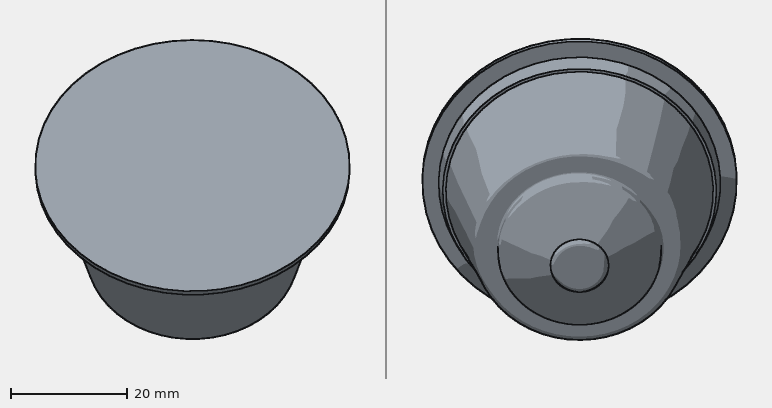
import cadquery as cq

height = 34.0

rim_radius = 27.0
collar_top_radius = 24.2
collar_bottom_radius = 23.5
body_top_radius = 22.95
body_bottom_radius = 18.05
neck_radius = 28.0 / 2
tip_radius = 10.0 / 2

rim_depth = 1.0
flange_depth = 1.5
collar_depth = 4.6
body_depth = 26.05
neck_depth = 28.1
cone_depth = 33.0

body_fillet = 1.1
neck_root_fillet = 0.5
neck_fillet = 0.75
tip_fillet = 0.95

match_tolerance = 0.005

body_bottom_z = height - body_depth
neck_bottom_z = height - neck_depth


def revolved_capsule():
    """Revolve the half profile, listed from the top centre down the outside."""
    profile = [
        (0, height),
        (rim_radius, height),
        (rim_radius, height - rim_depth),
        (collar_top_radius, height - flange_depth),
        (collar_bottom_radius, height - collar_depth),
        (body_top_radius, height - collar_depth),
        (body_bottom_radius, body_bottom_z),
        (neck_radius, body_bottom_z),
        (neck_radius, neck_bottom_z),
        (tip_radius, height - cone_depth),
        (tip_radius, 0),
        (0, 0),
    ]
    return cq.Workplane("XZ").polyline(profile).close().revolve(360, (0, 0), (0, 1))


def round_edge(solid, radius, z, fillet):
    """Round the circular edge with the given radius and height."""
    circles = [
        edge
        for edge in solid.edges("%CIRCLE").vals()
        if abs(edge.radius() - radius) < match_tolerance
        and abs(edge.Center().z - z) < match_tolerance
    ]
    return solid.newObject(circles).fillet(fillet)


result = revolved_capsule()
result = round_edge(result, body_bottom_radius, body_bottom_z, body_fillet)
result = round_edge(result, neck_radius, body_bottom_z, neck_root_fillet)
result = round_edge(result, neck_radius, neck_bottom_z, neck_fillet)
result = round_edge(result, tip_radius, 0, tip_fillet)